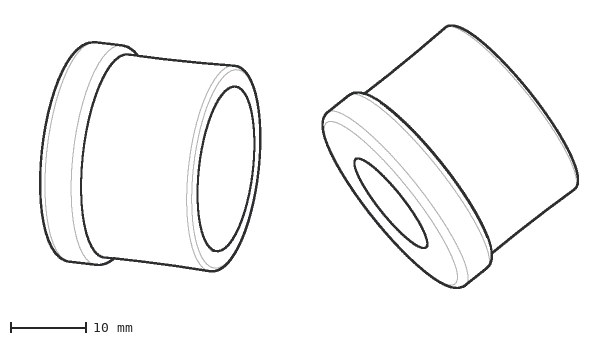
import cadquery as cq

total_length = 21.23
flange_diameter = 29.4
flange_width = 5.7
flange_rounding = 1.0

barrel_root_diameter = 27.17
barrel_middle_diameter = 27.1
barrel_end_diameter = 27.58
barrel_end_rounding = 0.5

bore_diameter = 15.0
recess_diameter = 22.02
front_wall = 5.0

x_front = -total_length / 2
x_shoulder = x_front + flange_width
x_end = total_length / 2


def cylinder(diameter, x_start, x_stop):
    """Solid cylinder along X between two stations."""
    return cq.Workplane("YZ", origin=(x_start, 0, 0)).circle(diameter / 2).extrude(x_stop - x_start)


def make_flange():
    """Collar with both outer rims rounded."""
    return cylinder(flange_diameter, x_front, x_shoulder).edges().fillet(flange_rounding)


def make_barrel():
    """Barrel revolved from a shallow concave arc, with its free rim rounded."""
    x_middle = (x_shoulder + x_end) / 2
    end_radius = barrel_end_diameter / 2
    profile = (
        cq.Workplane("XY")
        .moveTo(x_shoulder, 0)
        .lineTo(x_shoulder, barrel_root_diameter / 2)
        .threePointArc((x_middle, barrel_middle_diameter / 2), (x_end, end_radius))
        .lineTo(x_end, 0)
        .close()
    )
    barrel = profile.revolve(360, (0, 0, 0), (1, 0, 0))
    return barrel.faces(">X").edges().fillet(barrel_end_rounding)


bore = cylinder(bore_diameter, x_front, x_end)
recess = cylinder(recess_diameter, x_front + front_wall, x_end)

result = make_flange().union(make_barrel()).cut(bore).cut(recess)